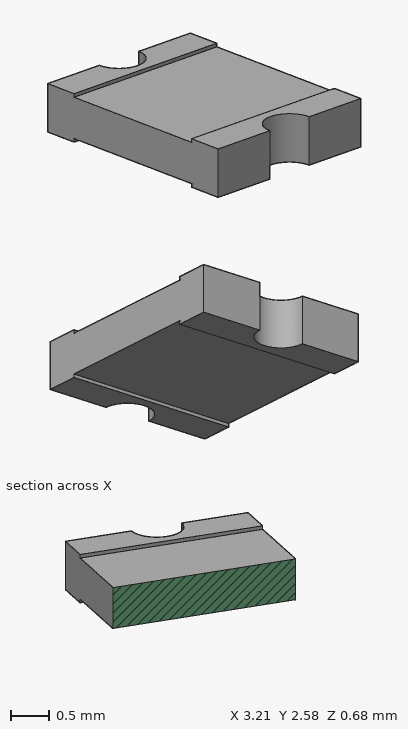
import cadquery as cq

length = 3.21
width = 2.58
height = 0.68

plating = 0.05
terminal_length = 0.5

notch_radius = 0.355


def make_body():
    """Flat full-length core, lower than the terminals by the plating on each side."""
    return cq.Workplane("XY").box(length, width, height - 2 * plating)


def make_terminal(side):
    """Full-height end block; side is -1 for the -X end, +1 for the +X end."""
    centre_x = side * (length - terminal_length) / 2
    return cq.Workplane("XY").box(terminal_length, width, height).translate((centre_x, 0, 0))


def make_notch(side):
    """Vertical cylinder centred on an end face, cutting through the full height."""
    return (
        cq.Workplane("XY")
        .center(side * length / 2, 0)
        .circle(notch_radius)
        .extrude(height / 2, both=True)
    )


result = make_body()
for end in (-1, 1):
    result = result.union(make_terminal(end))
for end in (-1, 1):
    result = result.cut(make_notch(end))